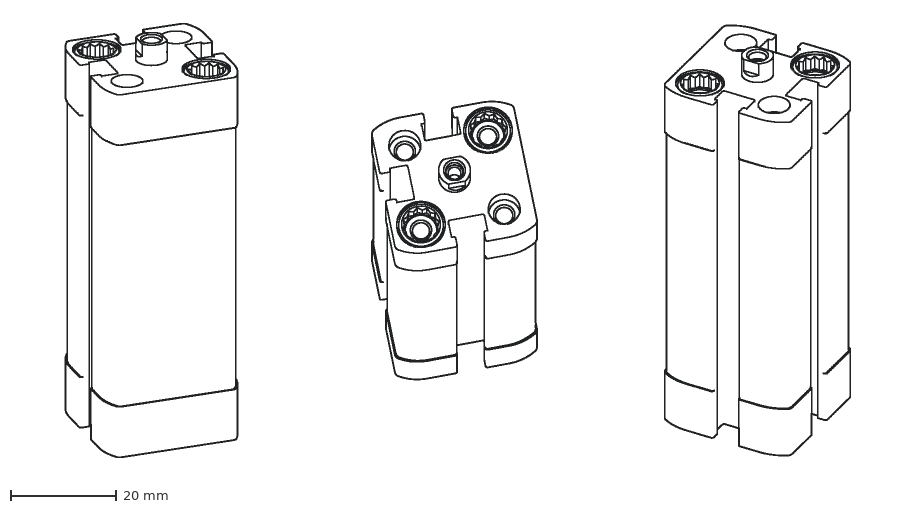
import cadquery as cq
import math


total_height = 79.2
cap_width = 27.5
housing_height = 75.0
cap_height = 10.45
middle_inset = 0.2
middle_width = cap_width - 2 * middle_inset
middle_height = housing_height - 2 * cap_height

corner_radius = 10.0
corner_run = 5.8
corner_blend = 1.2

slot_mouth = 5.5
slot_width = 7.0
slot_depth = 5.5
slot_lip = 2.05
slot_round = 0.4
slot_offset = 0.6

bore_spacing = 16.1
bore_diameter = 6.0
bore_depth = 3.5
screw_hole_diameter = 3.25
screw_hole_chamfer = 0.4

socket_recess_diameter = 9.2
socket_foot_diameter = 8.5
socket_crest_diameter = 7.4
socket_groove_depth = 0.5
socket_lead_angle = 75.0
socket_points = 12
socket_major_diameter = 7.0
socket_depth = 3.1

rod_diameter = 6.0
rod_bottom = housing_height - cap_height
flat_width = 5.1
flat_height = 2.5
rod_mouth_diameter = 4.1
rod_mouth_angle = 90.0
rod_thread_diameter = 3.3
rod_thread_depth = 1.8
rod_drill_diameter = 2.45
rod_drill_depth = 6.3
drill_angle = 118.0


def cone_height(large_diameter, small_diameter, point_angle):
    """Axial length of a cone between two diameters."""
    return (large_diameter - small_diameter) / 2 / math.tan(math.radians(point_angle / 2))


def cone(large_diameter, small_diameter, height, x, y, top):
    """Cone whose large end faces up at the height `top`."""
    return cq.Workplane(
        cq.Solid.makeCone(
            large_diameter / 2,
            small_diameter / 2,
            height,
            pnt=cq.Vector(x, y, top),
            dir=cq.Vector(0, 0, -1),
        )
    )


def bore(diameter, depth, x, y, top):
    """Cylinder going down from the height `top`."""
    return cq.Workplane("XY", origin=(x, y, top - depth)).circle(diameter / 2).extrude(depth)


def housing_block(width, bottom, height):
    """Square block with rounded outer corners."""
    half = width / 2
    tangent_x = half - corner_run
    arc_center_y = half - corner_radius
    side_y = arc_center_y + math.sqrt(corner_radius**2 - corner_run**2)
    block = (
        cq.Workplane("XY", origin=(0, 0, bottom))
        .moveTo(-tangent_x, half)
        .lineTo(tangent_x, half)
        .radiusArc((half, side_y), corner_radius)
        .lineTo(half, -side_y)
        .radiusArc((tangent_x, -half), corner_radius)
        .lineTo(-tangent_x, -half)
        .radiusArc((-half, -side_y), corner_radius)
        .lineTo(-half, side_y)
        .radiusArc((-tangent_x, half), corner_radius)
        .close()
        .extrude(height)
    )
    return block.edges("|Z").edges("<X or >X").fillet(corner_blend)


def t_slot(width, bottom, height):
    """T-slot opening toward +Y with rounded lips, for a block of the given width."""
    face = width / 2
    shoulder = cap_width / 2 - slot_lip
    floor = cap_width / 2 - slot_depth
    mouth = slot_mouth / 2
    wall = slot_width / 2
    return (
        cq.Workplane("XY", origin=(0, 0, bottom))
        .moveTo(0, face)
        .lineTo(mouth + slot_round, face)
        .radiusArc((mouth, face - slot_round), -slot_round)
        .lineTo(mouth, shoulder + slot_round)
        .radiusArc((mouth + slot_round, shoulder), -slot_round)
        .lineTo(wall, shoulder)
        .lineTo(wall, floor + slot_round)
        .radiusArc((wall - slot_round, floor), slot_round)
        .lineTo(0, floor)
        .mirrorY()
        .extrude(height)
    )


def housing_section(width, bottom, height):
    """One length of the housing with its three T-slots."""
    section = housing_block(width, bottom, height)
    back_slot = t_slot(width, bottom, height).translate((-slot_offset, 0, 0))
    side_slot = back_slot.mirror("YZ").rotate((0, 0, 0), (0, 0, 1), 90)
    front_slot = back_slot.rotate((0, 0, 0), (0, 0, 1), 180)
    return section.cut(back_slot).cut(side_slot).cut(front_slot)


def corner_bore(x, y):
    """Screw hole through the housing with a chamfered edge and a wider bore at the top."""
    floor = housing_height - bore_depth
    chamfer_diameter = screw_hole_diameter + 2 * screw_hole_chamfer
    cutter = bore(screw_hole_diameter, housing_height, x, y, housing_height)
    cutter = cutter.union(cone(chamfer_diameter, screw_hole_diameter, screw_hole_chamfer, x, y, floor))
    return cutter.union(bore(bore_diameter, bore_depth, x, y, housing_height))


def twelve_point_socket(x, y):
    """Star-shaped socket of two crossed hexagons with a countersunk mouth."""
    star = cq.Workplane("XY", origin=(x, y, housing_height - socket_depth))
    hexagon = star.polygon(socket_points // 2, socket_major_diameter).extrude(socket_depth)
    point_pitch = 360 / socket_points
    turned_hexagon = hexagon.rotate((x, y, 0), (x, y, 1), point_pitch)
    lead_depth = cone_height(socket_crest_diameter, bore_diameter, socket_lead_angle)
    lead = cone(socket_crest_diameter, bore_diameter, lead_depth, x, y, housing_height)
    return hexagon.union(turned_hexagon).union(lead)


def socket_groove(x, y):
    """Ring groove around a socket, with a straight outer wall and a sloped inner wall."""
    recess = bore(socket_recess_diameter, socket_groove_depth, x, y, housing_height)
    collar = cq.Workplane(
        cq.Solid.makeCone(
            socket_foot_diameter / 2,
            socket_crest_diameter / 2,
            socket_groove_depth,
            pnt=cq.Vector(x, y, housing_height - socket_groove_depth),
        )
    )
    return recess.cut(collar)


def rod_blank():
    """Plain cylinder filling the rod bore and rising to the rod end."""
    return bore(rod_diameter, total_height - rod_bottom, 0, 0, total_height)


def make_housing():
    housing = housing_section(cap_width, 0, cap_height)
    housing = housing.union(housing_section(middle_width, cap_height, middle_height))
    housing = housing.union(housing_section(cap_width, cap_height + middle_height, cap_height))
    offset = bore_spacing / 2
    for side_x in (-1, 1):
        for side_y in (-1, 1):
            housing = housing.cut(corner_bore(side_x * offset, side_y * offset))
    for side in (-1, 1):
        housing = housing.cut(twelve_point_socket(side * offset, side * offset))
        housing = housing.cut(socket_groove(side * offset, side * offset))
    return housing.cut(rod_blank())


def rod_flat():
    """Cutter for the flat on the +Y side of the rod, with a 45 degree run-out."""
    rod_radius = rod_diameter / 2
    flat_y = flat_width / 2
    flat_bottom = total_height - flat_height
    return (
        cq.Workplane("YZ")
        .moveTo(flat_y, total_height)
        .lineTo(flat_y, flat_bottom)
        .lineTo(rod_radius, flat_bottom - (rod_radius - flat_y))
        .lineTo(rod_radius, total_height)
        .close()
        .extrude(rod_radius, both=True)
    )


def make_rod():
    rod = rod_blank()
    for turn in (0, 180):
        rod = rod.cut(rod_flat().rotate((0, 0, 0), (0, 0, 1), turn))
    mouth_depth = cone_height(rod_mouth_diameter, rod_thread_diameter, rod_mouth_angle)
    rod = rod.cut(cone(rod_mouth_diameter, rod_thread_diameter, mouth_depth, 0, 0, total_height))
    rod = rod.cut(bore(rod_thread_diameter, rod_thread_depth, 0, 0, total_height))
    rod = rod.cut(bore(rod_drill_diameter, rod_drill_depth, 0, 0, total_height))
    tip_height = cone_height(rod_drill_diameter, 0, drill_angle)
    return rod.cut(cone(rod_drill_diameter, 0, tip_height, 0, 0, total_height - rod_drill_depth))


housing = make_housing()
rod = make_rod()
result = cq.Compound.makeCompound([housing.val(), rod.val()])